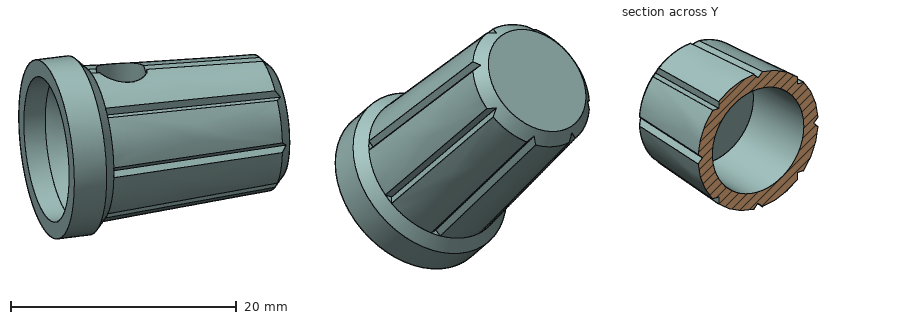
import cadquery as cq

length = 21.0
collar_diameter = 16.0
collar_length = 3.0
chamfer = 1.0
tip_diameter = 12.18

mouth_diameter = 13.0
mouth_depth = 2.0
bore_diameter = 10.0
seat_length = 1.5
bore_depth = 18.0

screw_hole_diameter = 4.5
screw_hole_distance = 7.0

groove_count = 8
groove_depth = 0.48

collar_radius = collar_diameter / 2
base_radius = collar_radius - chamfer
tip_radius = tip_diameter / 2
mouth_radius = mouth_diameter / 2
bore_radius = bore_diameter / 2
open_face = -length / 2
closed_face = length / 2
grip_start = open_face + collar_length + chamfer
grip_end = closed_face - chamfer


def revolve_about_axis(profile):
    """Revolve a closed (radius, y) profile about the Y axis."""
    return cq.Workplane("XY").polyline(profile).close().revolve(360, (0, 0), (0, 1))


def make_body():
    return revolve_about_axis([
        (0, open_face),
        (collar_radius, open_face),
        (collar_radius, open_face + collar_length),
        (base_radius, grip_start),
        (tip_radius, grip_end),
        (tip_radius - chamfer, closed_face),
        (0, closed_face),
    ])


def make_bore():
    mouth_end = open_face + mouth_depth
    return revolve_about_axis([
        (0, open_face),
        (mouth_radius, open_face),
        (mouth_radius, mouth_end),
        (bore_radius, mouth_end + seat_length),
        (bore_radius, open_face + bore_depth),
        (0, open_face + bore_depth),
    ])


def make_screw_hole():
    """Radial hole through the +Z wall only, ending inside the bore."""
    hole = cq.Workplane("XY").center(0, open_face + screw_hole_distance)
    return hole.circle(screw_hole_diameter / 2).extrude(collar_radius)


def groove_section(y, surface_radius):
    """Right-angled V at one station, drawn past the surface for a clean cut."""
    root = surface_radius - groove_depth
    reach = 2 * groove_depth
    return cq.Wire.makePolygon([
        cq.Vector(0, y, root),
        cq.Vector(reach, y, root + reach),
        cq.Vector(-reach, y, root + reach),
    ], close=True)


def make_groove():
    """V groove of constant depth that follows the grip taper and runs out at the tip."""
    taper = (tip_radius - base_radius) / (grip_end - grip_start)
    end_radius = base_radius + taper * (closed_face - grip_start)
    sections = [groove_section(grip_start, base_radius), groove_section(closed_face, end_radius)]
    return cq.Solid.makeLoft(sections, True)


result = make_body().cut(make_bore()).cut(make_screw_hole())

groove = make_groove()
for index in range(groove_count):
    angle = 360 / groove_count * index
    result = result.cut(cq.Workplane(groove.rotate(cq.Vector(0, 0, 0), cq.Vector(0, 1, 0), angle)))